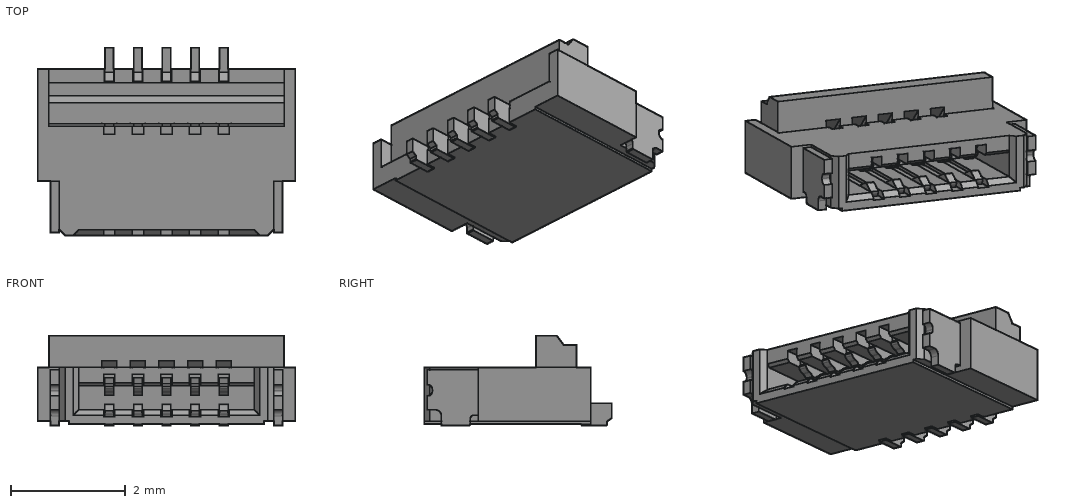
import cadquery as cq


width = 4.5
housing_length = 2.91
housing_bottom = 0.075
housing_top = 1.015
nose_width = 3.745
nose_length = 0.95
nose_chamfer = 0.105
pad_width = 3.41
pad_bottom = 0.025

cavity_width = 3.07
cavity_floor = 0.275
cavity_ceiling = 0.698
cavity_depth = 1.62
lead_in = 0.095
lip_setback = 0.1
ceiling_lead_in = 0.055

contact_count = 5
pitch = 0.5
contact_width = 0.15
contact_top = 0.835
arm_end = 2.16
slot_width = 0.2
slot_bottom = 0.158
slot_top = 0.9

upper_arm_front = 0.425
beak_root = 0.45
beak_root_height = 0.73
beak_tip = 0.395
beak_top = 0.685
beak_undercut = 0.02
beak_bottom = 0.65
hollow_middle = 0.455
hollow_height = 0.61
bend = 0.51
bend_height = 0.59
bulge_middle = 0.565
bulge_height = 0.562
point_front = 0.605
point_back = 0.675
point_height = 0.53
upper_arm_straight = 0.9
upper_arm_bottom = 0.675

nose_heel = 0.24
nose_chin = 0.205
nose_chin_height = 0.21
nose_tip = 0.19
nose_tip_height = 0.26
crest_front = 0.37
crest_front_height = 0.365
crest_middle = 0.4
crest_height = 0.37
crest_back = 0.44
crest_back_height = 0.36
lower_arm_straight = 0.72
lower_arm_top = 0.235

recess_width = 4.11
recess_front = 1.91
recess_floor = 0.45
bar_front = 1.955
bar_back = 2.665
bar_top = 1.57
bar_step_height = 1.41
bar_slope_top = 2.318
bar_slope_bottom = 2.44
notch_width = 0.265
notch_top = 1.13
pocket_front = 1.77
pocket_floor = 0.85
tail_slot_width = 0.175
tail_slot_floor = 0.315

tail_end = 3.28
tail_top = 0.39
tail_slope_start = 2.85
tail_slope_run = 0.155
foot_front = 2.74
foot_back = 3.195
foot_step = 0.07
foot_bevel = 0.015
tail_bevel_top = 0.13

tab_thickness = 0.155
tab_front = 0.055
tab_top = 0.97
tab_notch_center = 0.615
tab_notch_height = 0.2
tab_notch_radius = 0.095
tab_foot_front = 0.3
tab_foot_back = 0.805
tab_front_bottom = 0.275
tab_back_bottom = 0.18
tab_front_radius = 0.1
tab_back_radius = 0.065

contact_places = [(i - (contact_count - 1) / 2) * pitch for i in range(contact_count)]


def block(x_size, y0, y1, z0, z1, x=0.0):
    """Box centred on x, between the given Y and Z limits."""
    return cq.Workplane("XY").box(x_size, y1 - y0, z1 - z0).translate((x, (y0 + y1) / 2, (z0 + z1) / 2))


def side_plate(outline, thickness, x):
    """Closed outline drawn in Y and Z, thickened evenly about x."""
    return outline.close().extrude(thickness / 2, both=True).translate((x, 0, 0))


def side_polygon(points, thickness, x=0.0):
    return side_plate(cq.Workplane("YZ").polyline(points), thickness, x)


def make_housing():
    body = block(width, nose_length, housing_length, housing_bottom, housing_top)
    nose = block(nose_width, 0, nose_length, housing_bottom, housing_top)
    nose = nose.faces("<Y").edges("|Z").chamfer(nose_chamfer)
    pad = block(pad_width, 0, housing_length, pad_bottom, housing_bottom)
    return body.union(nose).union(pad)


def make_cavity():
    room = block(cavity_width, 0, cavity_depth, cavity_floor, cavity_ceiling)
    half = cavity_width / 2
    mouth_height = 2 * (housing_top - cavity_floor)
    mouth = (
        cq.Workplane("XZ", origin=(0, 0, housing_top))
        .rect(2 * (half + lead_in), mouth_height + 2 * lead_in)
        .workplane(offset=-lip_setback)
        .rect(cavity_width, mouth_height)
        .loft(ruled=True)
    )
    ceiling_slope = side_polygon(
        [
            (lip_setback, cavity_ceiling),
            (lip_setback, cavity_ceiling + ceiling_lead_in),
            (lip_setback + ceiling_lead_in, cavity_ceiling),
        ],
        cavity_width,
    )
    return room.union(mouth).union(ceiling_slope)


def make_bar():
    return side_polygon(
        [
            (bar_front, recess_floor),
            (bar_front, bar_top),
            (bar_slope_top, bar_top),
            (bar_slope_bottom, bar_step_height),
            (bar_back, bar_step_height),
            (bar_back, recess_floor),
        ],
        recess_width,
    )


def make_notch(x):
    """Wedge cut under the front of the bar, with a sloping roof."""
    notch_depth = notch_top - contact_top
    return side_polygon(
        [(bar_front, contact_top), (bar_front, notch_top), (bar_front + notch_depth, contact_top)],
        notch_width,
        x,
    )


def make_upper_arm(x):
    """Arm under the cavity ceiling, with a beak in front and a contact point below."""
    outline = (
        cq.Workplane("YZ")
        .moveTo(arm_end, contact_top)
        .lineTo(upper_arm_front, contact_top)
        .lineTo(beak_root, beak_root_height)
        .lineTo(beak_tip, beak_top)
        .lineTo(beak_tip + beak_undercut, beak_bottom)
        .threePointArc((hollow_middle, hollow_height), (bend, bend_height))
        .threePointArc((bulge_middle, bulge_height), (point_front, point_height))
        .lineTo(point_back, point_height)
        .lineTo(upper_arm_straight, upper_arm_bottom)
        .lineTo(arm_end, upper_arm_bottom)
    )
    return side_plate(outline, contact_width, x)


def make_lower_arm(x):
    """Arm on the slot floor, rising from its nose to a rounded crest."""
    outline = (
        cq.Workplane("YZ")
        .moveTo(arm_end, slot_bottom)
        .lineTo(nose_heel, slot_bottom)
        .lineTo(nose_chin, nose_chin_height)
        .lineTo(nose_tip, nose_tip_height)
        .lineTo(crest_front, crest_front_height)
        .threePointArc((crest_middle, crest_height), (crest_back, crest_back_height))
        .lineTo(lower_arm_straight, lower_arm_top)
        .lineTo(arm_end, lower_arm_top)
    )
    return side_plate(outline, contact_width, x)


def make_tail(x):
    slope_end = tail_slope_start - tail_slope_run
    slope_top = tail_top + tail_slope_run
    return side_polygon(
        [
            (foot_front + foot_bevel, 0),
            (foot_back - foot_bevel, 0),
            (foot_back, foot_bevel),
            (foot_back, foot_step),
            (tail_end, tail_bevel_top),
            (tail_end, tail_top),
            (tail_slope_start, tail_top),
            (slope_end, slope_top),
            (bar_front, contact_top),
            (bar_front, pad_bottom),
            (foot_front, pad_bottom),
        ],
        contact_width,
        x,
    )


def make_tab(x):
    notch_upper = tab_notch_center + tab_notch_height / 2
    notch_lower = tab_notch_center - tab_notch_height / 2
    notch_back = tab_front + tab_notch_radius
    outline = (
        cq.Workplane("YZ")
        .moveTo(nose_length, tab_top)
        .lineTo(tab_front, tab_top)
        .lineTo(tab_front, notch_upper)
        .radiusArc((notch_back, notch_upper - tab_notch_radius), tab_notch_radius)
        .lineTo(notch_back, notch_lower + tab_notch_radius)
        .radiusArc((tab_front, notch_lower), tab_notch_radius)
        .lineTo(tab_front, tab_front_bottom)
        .lineTo(tab_foot_front - tab_front_radius, tab_front_bottom)
        .radiusArc((tab_foot_front, tab_front_bottom - tab_front_radius), tab_front_radius)
        .lineTo(tab_foot_front, 0)
        .lineTo(tab_foot_back - foot_bevel, 0)
        .lineTo(tab_foot_back, foot_bevel)
        .lineTo(tab_foot_back, tab_back_bottom - tab_back_radius)
        .radiusArc((tab_foot_back + tab_back_radius, tab_back_bottom), tab_back_radius)
        .lineTo(nose_length, tab_back_bottom)
    )
    return side_plate(outline, tab_thickness, x)


def make_contact_openings(x):
    """Everything cut from the plastic around one contact."""
    arm_slot = block(slot_width, 0, cavity_depth, slot_bottom, slot_top, x)
    pocket = block(slot_width, pocket_front, bar_front, pocket_floor, housing_top, x)
    tail_slot = block(tail_slot_width, bar_back, housing_length, tail_slot_floor, recess_floor, x)
    return arm_slot.union(pocket).union(tail_slot).union(make_notch(x))


recess = block(recess_width, recess_front, housing_length, recess_floor, housing_top)
result = make_housing().cut(make_cavity()).cut(recess).union(make_bar())

for x in contact_places:
    result = result.cut(make_contact_openings(x))
    result = result.union(make_upper_arm(x)).union(make_lower_arm(x)).union(make_tail(x))

tab_place = (nose_width + tab_thickness) / 2
for x in (-tab_place, tab_place):
    result = result.union(make_tab(x))